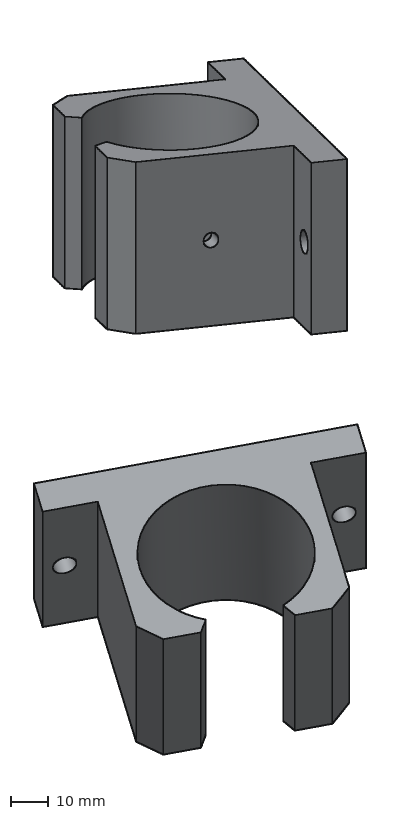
import cadquery as cq
import math

flange_width = 88.0
flange_thickness = 10.0
depth = 60.0
height = 48.0
body_width = 58.0
corner_chamfer = 6.0

bore_diameter = 47.0
bore_to_back = 35.0
mouth_inner_width = 21.0
mouth_flare_angle = 30.0

mount_hole_diameter = 6.4
mount_hole_spacing = 76.0

screw_hole_diameter = 4.13
screw_hole_y = 2.0

bore_radius = bore_diameter / 2
back_y = bore_to_back
front_y = back_y - depth
flange_front_y = back_y - flange_thickness


def make_block():
    """Flange across the back and a body with chamfered front corners."""
    half_flange = flange_width / 2
    half_body = body_width / 2
    half_front = half_body - corner_chamfer
    outline = [
        (-half_flange, back_y),
        (half_flange, back_y),
        (half_flange, flange_front_y),
        (half_body, flange_front_y),
        (half_body, front_y + corner_chamfer),
        (half_front, front_y),
        (-half_front, front_y),
        (-half_body, front_y + corner_chamfer),
        (-half_body, flange_front_y),
        (-half_flange, flange_front_y),
    ]
    return cq.Workplane("XY").polyline(outline).close().extrude(height / 2, both=True)


def make_bore():
    """Pipe bore through the full height."""
    return cq.Workplane("XY").circle(bore_radius).extrude(height / 2, both=True)


def make_mouth():
    """Wedge opening the bore toward -Y, narrowest where it meets the bore."""
    half_inner = mouth_inner_width / 2
    inner_y = -math.sqrt(bore_radius**2 - half_inner**2)
    half_outer = half_inner + (inner_y - front_y) * math.tan(math.radians(mouth_flare_angle))
    outline = [
        (-half_inner, inner_y),
        (half_inner, inner_y),
        (half_outer, front_y),
        (-half_outer, front_y),
    ]
    return cq.Workplane("XY").polyline(outline).close().extrude(height / 2, both=True)


def make_mount_holes():
    """Two holes through the flange, one on each side of the body."""
    half_spacing = mount_hole_spacing / 2
    return (
        cq.Workplane("XZ", origin=(0, back_y, 0))
        .pushPoints([(-half_spacing, 0), (half_spacing, 0)])
        .circle(mount_hole_diameter / 2)
        .extrude(flange_thickness)
    )


def make_screw_hole():
    """Hole from the bore out through the +X wall at mid height."""
    return (
        cq.Workplane("YZ", origin=(0, screw_hole_y, 0))
        .circle(screw_hole_diameter / 2)
        .extrude(body_width / 2)
    )


result = (
    make_block()
    .cut(make_bore())
    .cut(make_mouth())
    .cut(make_mount_holes())
    .cut(make_screw_hole())
)